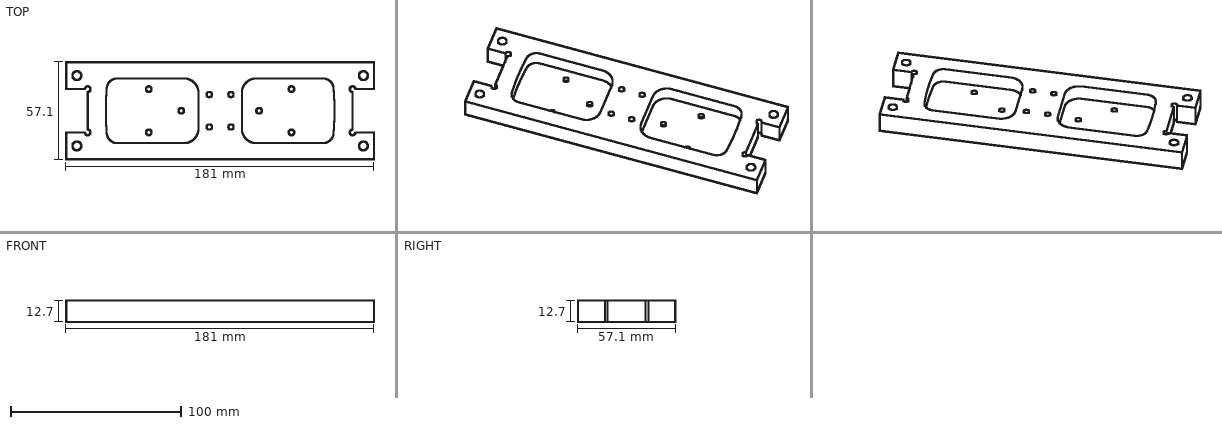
import cadquery as cq
import math

LENGTH = 180.975
WIDTH = 57.15
THICKNESS = 12.7

NOTCH_DEPTH = 12.7
NOTCH_WIDTH = 25.4
RELIEF_DIAMETER = 3.175

MOUNT_DIAMETER = 5.08
MOUNT_END_MARGIN = 6.35
MOUNT_SIDE_MARGIN = 7.9375

POCKET_DEPTH = 9.525
POCKET_WIDTH = 38.1
POCKET_INNER_X = 12.7
POCKET_OUTER_X = 67.2
POCKET_BOW_RADIUS = 152.4
POCKET_INNER_FILLET = 8.636
POCKET_OUTER_FILLET = 6.35

FLOOR_HOLE_DIAMETER = 3.175
FLOOR_SINGLE_X = 22.86
FLOOR_PAIR_OFFSET = 19.05
FLOOR_PAIR_X = FLOOR_SINGLE_X + FLOOR_PAIR_OFFSET
FLOOR_PAIR_SPACING = 25.4

WEB_HOLE_DIAMETER = 3.175
WEB_HOLE_DEPTH = 9.525
WEB_SPACING_X = 12.7
WEB_SPACING_Y = 19.05


def mirrored_pairs(x, y):
    """The four points at plus and minus x, plus and minus y."""
    return [(sign_x * x, sign_y * y) for sign_x in (-1, 1) for sign_y in (-1, 1)]


def through_holes(points, diameter):
    """Cutting cylinders through the full plate thickness."""
    return cq.Workplane("XY").pushPoints(points).circle(diameter / 2).extrude(THICKNESS)


def end_notches():
    """Cutters for the end notches and their corner reliefs."""
    inner_x = LENGTH / 2 - NOTCH_DEPTH
    centre_x = LENGTH / 2 - NOTCH_DEPTH / 2
    notches = (
        cq.Workplane("XY")
        .pushPoints([(-centre_x, 0), (centre_x, 0)])
        .rect(NOTCH_DEPTH, NOTCH_WIDTH)
        .extrude(THICKNESS)
    )
    return notches.union(through_holes(mirrored_pairs(inner_x, NOTCH_WIDTH / 2), RELIEF_DIAMETER))


def right_pocket():
    """Cutter for the pocket on the +X side."""
    half_width = POCKET_WIDTH / 2
    bow_centre_x = POCKET_OUTER_X - POCKET_BOW_RADIUS
    corner_x = bow_centre_x + math.sqrt(POCKET_BOW_RADIUS**2 - half_width**2)
    return (
        cq.Workplane("XY", origin=(0, 0, THICKNESS - POCKET_DEPTH))
        .moveTo(POCKET_INNER_X, -half_width)
        .lineTo(corner_x, -half_width)
        .threePointArc((POCKET_OUTER_X, 0), (corner_x, half_width))
        .lineTo(POCKET_INNER_X, half_width)
        .close()
        .extrude(POCKET_DEPTH)
        .edges("|Z")
        .edges("<X")
        .fillet(POCKET_INNER_FILLET)
        .edges("|Z")
        .edges(">X")
        .fillet(POCKET_OUTER_FILLET)
    )


def floor_holes():
    """Cutters for the three holes in each pocket floor."""
    points = mirrored_pairs(FLOOR_PAIR_X, FLOOR_PAIR_SPACING / 2)
    points += [(-FLOOR_SINGLE_X, 0), (FLOOR_SINGLE_X, 0)]
    return through_holes(points, FLOOR_HOLE_DIAMETER)


def mount_holes():
    """Cutters for the corner mounting holes."""
    points = mirrored_pairs(LENGTH / 2 - MOUNT_END_MARGIN, WIDTH / 2 - MOUNT_SIDE_MARGIN)
    return through_holes(points, MOUNT_DIAMETER)


def web_holes():
    """Cutters for the blind holes in the central web."""
    return (
        cq.Workplane("XY", origin=(0, 0, THICKNESS - WEB_HOLE_DEPTH))
        .pushPoints(mirrored_pairs(WEB_SPACING_X / 2, WEB_SPACING_Y / 2))
        .circle(WEB_HOLE_DIAMETER / 2)
        .extrude(WEB_HOLE_DEPTH)
    )


plate = cq.Workplane("XY").box(LENGTH, WIDTH, THICKNESS, centered=(True, True, False))
pocket = right_pocket()
result = (
    plate.cut(end_notches())
    .cut(mount_holes())
    .cut(pocket)
    .cut(pocket.mirror("YZ"))
    .cut(floor_holes())
    .cut(web_holes())
)